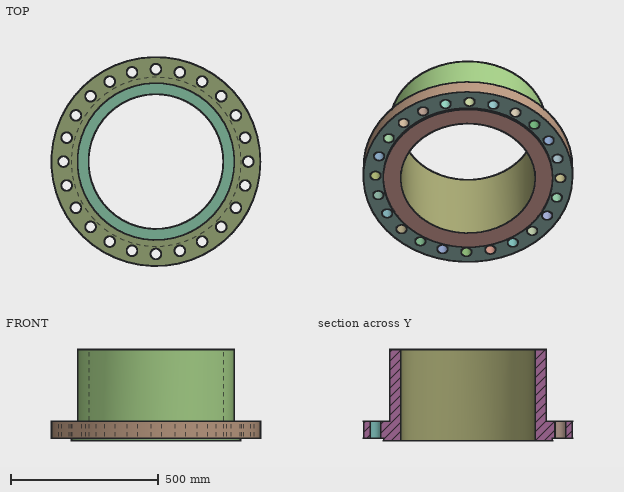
import cadquery as cq

flange_diameter = 711.0
total_height = 311.5

neck_diameter = 533.0
bore_diameter = 457.0

face_diameter = 576.0
face_height = 8.5
flange_thickness = 58.0
neck_height = total_height - face_height - flange_thickness

bolt_count = 24
bolt_circle_diameter = 628.0
bolt_hole_diameter = 35.5


def disc(diameter, bottom, height):
    """Solid disc about the Z axis, standing on the given level."""
    return cq.Workplane("XY").workplane(offset=bottom).circle(diameter / 2).extrude(height)


def bolt_holes():
    """Ring of cylinders through the flange plate, the first one on +X."""
    return (
        cq.Workplane("XY")
        .workplane(offset=face_height)
        .polarArray(bolt_circle_diameter / 2, 0, 360, bolt_count)
        .circle(bolt_hole_diameter / 2)
        .extrude(flange_thickness)
    )


raised_face = disc(face_diameter, 0, face_height)
flange = disc(flange_diameter, face_height, flange_thickness).cut(bolt_holes())
neck = disc(neck_diameter, face_height + flange_thickness, neck_height)
bore = disc(bore_diameter, 0, total_height)

result = flange.union(raised_face).union(neck).cut(bore)